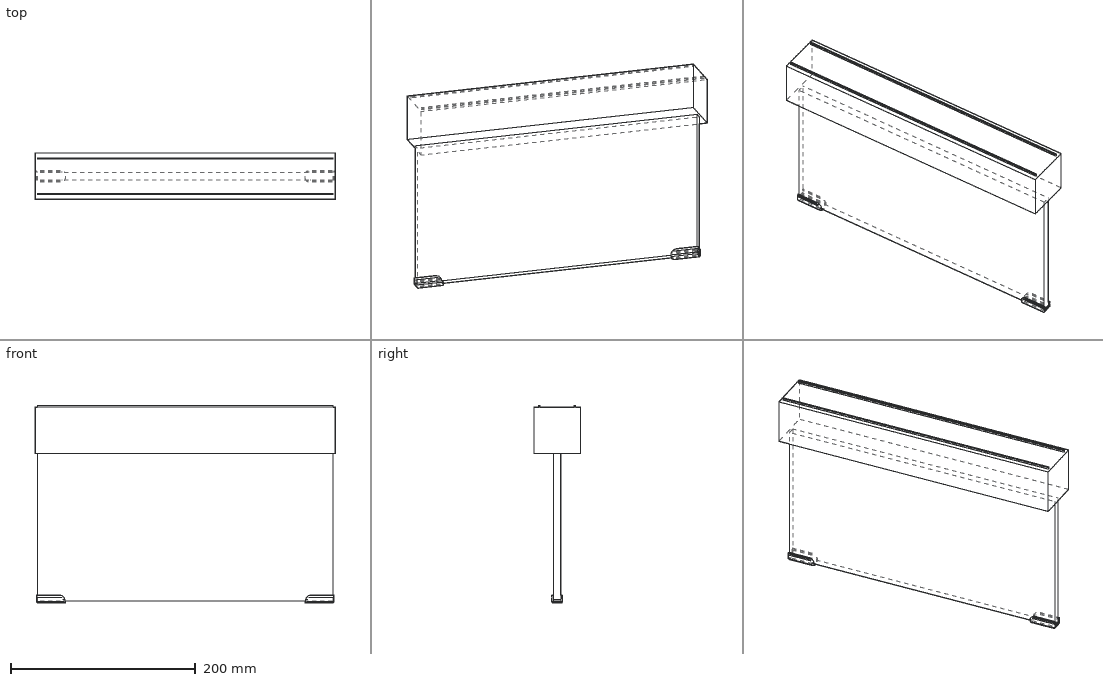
import cadquery as cq

housing_length = 325.0
housing_depth = 50.5
housing_height = 50.5
housing_offset_y = 0.15
ridge_width = 1.45
ridge_height = 2.0
ridge_spread = 40.0

overall_height = 214.0
panel_length = 320.0
panel_thickness = 8.0

clip_length = 31.2
clip_side_wall = 2.0
clip_end_wall = 1.0
clip_floor = 2.0
clip_height = 8.5
end_wall_top = 4.0
inner_corner_radius = 4.0
outer_corner_radius = 0.5

chamfer_height = 1.5
chamfer_inset = 1.0
groove_bottom = 4.0
groove_middle = 6.0
groove_top = 7.8
groove_depth = 0.5
top_edge_inset = 0.5
groove_middle_setback = 1.0
groove_top_setback = 3.0
top_edge_setback = 5.0

housing_top = overall_height - ridge_height
housing_bottom = housing_top - housing_height
clip_width = panel_thickness + 2 * clip_side_wall
clip_outer_x = panel_length / 2 + clip_end_wall


def box_between(length, depth, bottom, top):
    return cq.Workplane("XY").workplane(offset=bottom).rect(length, depth).extrude(top - bottom)


def make_housing():
    housing = box_between(housing_length, housing_depth, housing_bottom, housing_top)
    housing = housing.translate((0, housing_offset_y, 0))
    ridge = box_between(panel_length, ridge_width, housing_top, overall_height)
    ridge_y = (ridge_spread - ridge_width) / 2
    for side in (-1, 1):
        housing = housing.union(ridge.translate((0, side * ridge_y, 0)))
    return housing


def make_panel():
    return box_between(panel_length, panel_thickness, clip_floor, housing_bottom)


def clip_outline(height, side_inset, inner_setback, outer_setback):
    """Right-hand clip outline at a height; the inner corners are rounder than the outer ones."""
    inner_x = clip_outer_x - clip_length + inner_setback
    outer_x = clip_outer_x - outer_setback
    half_width = clip_width / 2 - side_inset
    return (
        cq.Sketch()
        .push([((inner_x + outer_x) / 2, 0)])
        .rect(outer_x - inner_x, 2 * half_width)
        .reset()
        .vertices("<X")
        .fillet(inner_corner_radius - side_inset)
        .reset()
        .vertices(">X")
        .fillet(outer_corner_radius)
        .moved(cq.Location(cq.Vector(0, 0, height)))
    )


def make_right_clip():
    outlines = [
        clip_outline(0, chamfer_inset, 0, chamfer_inset),
        clip_outline(chamfer_height, 0, 0, 0),
        clip_outline(groove_bottom, 0, 0, 0),
        clip_outline(groove_middle, groove_depth, groove_middle_setback, 0),
        clip_outline(groove_top, 0, groove_top_setback, 0),
        clip_outline(clip_height, top_edge_inset, top_edge_setback, 0),
    ]
    clip = cq.Workplane("XY")
    for lower, upper in zip(outlines, outlines[1:]):
        clip = clip.union(cq.Workplane("XY").placeSketch(lower, upper).loft())
    open_end = box_between(housing_length, panel_thickness, end_wall_top, clip_height)
    return clip.cut(make_panel()).cut(open_end)


def make_clip(side):
    """Clip at the right (+1) or left (-1) end of the panel."""
    clip = make_right_clip()
    return clip if side > 0 else clip.mirror("YZ")


housing = make_housing()
panel = make_panel()
clips = [make_clip(side) for side in (-1, 1)]

result = cq.Compound.makeCompound([housing.val(), panel.val(), *[clip.val() for clip in clips]])